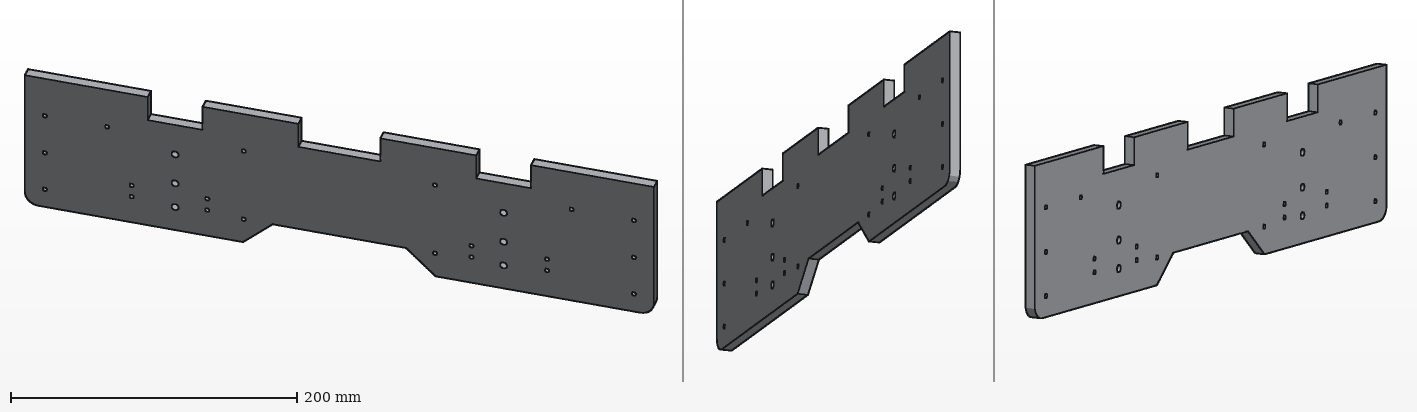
import cadquery as cq

length = 460.0
thickness = 8.0
height = 110.0
corner_radius = 10.0
bottom = -height / 2
top = height / 2

notch_depth = 20.0
centre_notch_width = 60.0
side_notch_width = 40.0
side_notch_offset = 120.0

relief_depth = 20.0
relief_top_half_width = 48.8
relief_bottom_half_width = 70.5

small_hole_diameter = 3.0
large_hole_diameter = 5.0
edge_column_offset = 215.5
edge_column_heights = (15.0, 46.5, 78.0)
upper_row_height = edge_column_heights[-1]
upper_outer_offset = 169.7
inner_column_offset = 70.0
inner_lower_height = 20.0
large_column_offset = side_notch_offset
large_hole_heights = (20.0, 40.0, 65.0)
group_offset = 124.0
group_half_spacing = 27.5
group_heights = (22.0, 31.7)


def make_plate():
    plate = cq.Workplane("XY").box(length, thickness, height)
    return plate.edges("|Y and <Z").fillet(corner_radius)


def cut_notch(plate, offset, width):
    notch = cq.Workplane("XY").box(width, thickness, notch_depth)
    return plate.cut(notch.translate((offset, 0, top - notch_depth / 2)))


def cut_relief(plate):
    relief = (
        cq.Workplane("XZ")
        .moveTo(-relief_bottom_half_width, bottom)
        .lineTo(-relief_top_half_width, bottom + relief_depth)
        .lineTo(relief_top_half_width, bottom + relief_depth)
        .lineTo(relief_bottom_half_width, bottom)
        .close()
        .extrude(thickness, both=True)
    )
    return plate.cut(relief)


def drill_both_halves(plate, positions, diameter):
    points = [(side * x, bottom + z) for x, z in positions for side in (-1, 1)]
    holes = cq.Workplane("XZ").pushPoints(points).circle(diameter / 2).extrude(thickness, both=True)
    return plate.cut(holes)


small_holes = [(edge_column_offset, z) for z in edge_column_heights]
small_holes += [
    (upper_outer_offset, upper_row_height),
    (inner_column_offset, upper_row_height),
    (inner_column_offset, inner_lower_height),
]
for group_side in (-1, 1):
    for group_height in group_heights:
        small_holes.append((group_offset + group_side * group_half_spacing, group_height))

large_holes = [(large_column_offset, z) for z in large_hole_heights]

result = make_plate()
result = cut_notch(result, 0, centre_notch_width)
for notch_side in (-1, 1):
    result = cut_notch(result, notch_side * side_notch_offset, side_notch_width)
result = cut_relief(result)
result = drill_both_halves(result, small_holes, small_hole_diameter)
result = drill_both_halves(result, large_holes, large_hole_diameter)